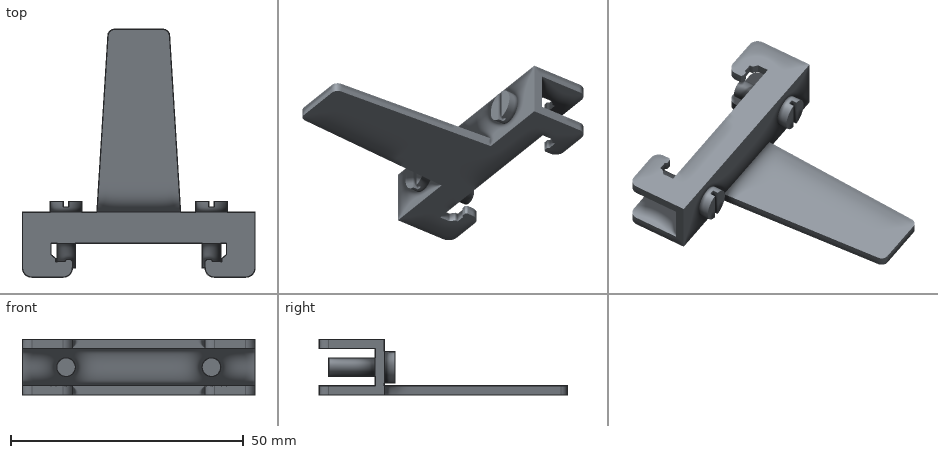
import cadquery as cq

LENGTH = 50.0
HEIGHT = 12.0
TOTAL_DEPTH = 53.3
WALL = 2.0

FLANGE_DEPTH = 14.0
SLOT_DEPTH = 6.7
SLOT_INSET = 6.2
HOOK_INSET = 10.75
HOOK_RADIUS = 2.0

BEVEL_START = 9.15
BEVEL_WIDTH = 1.0
BEVEL_DEPTH = 0.85
CATCH_FLOOR = 10.65
LIP_HEIGHT = 0.4
LIP_WIDTH = 1.65
LIP_SLOPE = 0.3
LIP_CHAMFER = 0.35

TONGUE_ROOT_WIDTH = 18.0
TONGUE_END_WIDTH = 13.1
TONGUE_RADIUS = 1.5

SCREW_SPACING = 31.25
SHANK_DIAMETER = 4.0
SHANK_END = 12.0
HEAD_DIAMETER = 6.8
HEAD_HEIGHT = 2.3
DRIVER_SLOT_WIDTH = 1.1
DRIVER_SLOT_DEPTH = 1.15


def make_channel():
    """C-section opening toward -Y, running along X."""
    block = cq.Workplane("XY").box(LENGTH, FLANGE_DEPTH, HEIGHT, centered=(True, False, False))
    opening = cq.Workplane("XY").box(
        LENGTH, FLANGE_DEPTH - WALL, HEIGHT - 2 * WALL, centered=(True, False, False)
    )
    return block.cut(opening.translate((0, 0, WALL))).translate((0, -FLANGE_DEPTH, 0))


def make_hooked_outline():
    """Full-height prism with the plan outline of the flanges."""
    end = LENGTH / 2
    slot_end = end - SLOT_INSET
    catch_end = slot_end - BEVEL_WIDTH
    tip = end - HOOK_INSET
    lip_top = CATCH_FLOOR - LIP_HEIGHT
    half_outline = [
        (0, 0),
        (end, 0),
        (end, -FLANGE_DEPTH),
        (tip, -FLANGE_DEPTH),
        (tip, -lip_top - LIP_CHAMFER),
        (tip + LIP_CHAMFER, -lip_top),
        (tip + LIP_WIDTH - LIP_SLOPE, -lip_top),
        (tip + LIP_WIDTH, -CATCH_FLOOR),
        (catch_end, -CATCH_FLOOR),
        (catch_end, -BEVEL_START - BEVEL_DEPTH),
        (slot_end, -BEVEL_START),
        (slot_end, -SLOT_DEPTH),
        (0, -SLOT_DEPTH),
    ]
    half = cq.Workplane("XY").polyline(half_outline).close().extrude(HEIGHT)
    half = half.faces("<Y").edges("|Z").fillet(HOOK_RADIUS)
    return half.union(half.mirror("YZ"))


def make_tongue():
    """Flat tapered tongue level with the lower flange."""
    root = TONGUE_ROOT_WIDTH / 2
    end = TONGUE_END_WIDTH / 2
    length = TOTAL_DEPTH - FLANGE_DEPTH
    outline = [(-root, -WALL), (-root, 0), (-end, length), (end, length), (root, 0), (root, -WALL)]
    tongue = cq.Workplane("XY").polyline(outline).close().extrude(WALL)
    return tongue.faces(">Y").edges("|Z").fillet(TONGUE_RADIUS)


def make_screw(x):
    """Cheese-head screw along Y with its driver slot running along Z."""
    base = cq.Workplane("XZ").center(x, HEIGHT / 2)
    shank = base.circle(SHANK_DIAMETER / 2).extrude(SHANK_END)
    head = base.circle(HEAD_DIAMETER / 2).extrude(-HEAD_HEIGHT)
    driver_slot = (
        base.workplane(offset=-HEAD_HEIGHT)
        .rect(DRIVER_SLOT_WIDTH, HEAD_DIAMETER)
        .extrude(DRIVER_SLOT_DEPTH)
    )
    return shank.union(head).cut(driver_slot)


result = make_channel().intersect(make_hooked_outline()).union(make_tongue())
for side in (-1, 1):
    result = result.union(make_screw(side * SCREW_SPACING / 2))